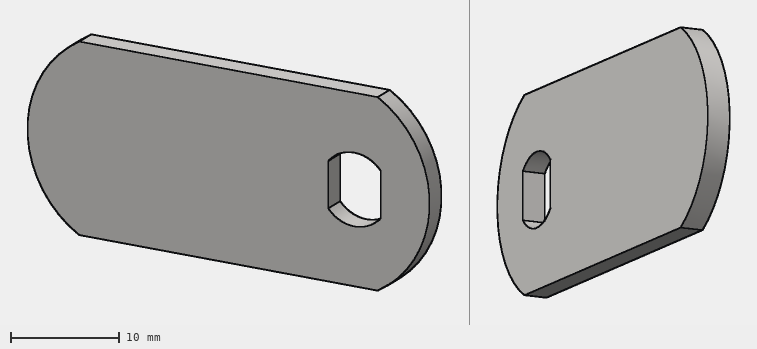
import cadquery as cq
import math

length = 42.5
height = 19.0
thickness = 2.3
end_radius = 10.95

hole_x = 13.3
hole_radius = 3.6
hole_width = 5.52


def make_plate():
    """Plate with straight top and bottom edges and an arc at each end."""
    half_length = length / 2
    half_height = height / 2
    arc_depth = end_radius - math.sqrt(end_radius**2 - half_height**2)
    corner_x = half_length - arc_depth
    return (
        cq.Workplane("XZ")
        .moveTo(-corner_x, half_height)
        .lineTo(corner_x, half_height)
        .threePointArc((half_length, 0), (corner_x, -half_height))
        .lineTo(-corner_x, -half_height)
        .threePointArc((-half_length, 0), (-corner_x, half_height))
        .close()
        .extrude(thickness / 2, both=True)
    )


def make_hole_cutter():
    """Double-D cutter, longer than the plate is thick."""
    half_width = hole_width / 2
    flat_half_height = math.sqrt(hole_radius**2 - half_width**2)
    return (
        cq.Workplane("XZ")
        .center(hole_x, 0)
        .moveTo(-half_width, flat_half_height)
        .threePointArc((0, hole_radius), (half_width, flat_half_height))
        .lineTo(half_width, -flat_half_height)
        .threePointArc((0, -hole_radius), (-half_width, -flat_half_height))
        .close()
        .extrude(thickness, both=True)
    )


result = make_plate().cut(make_hole_cutter())